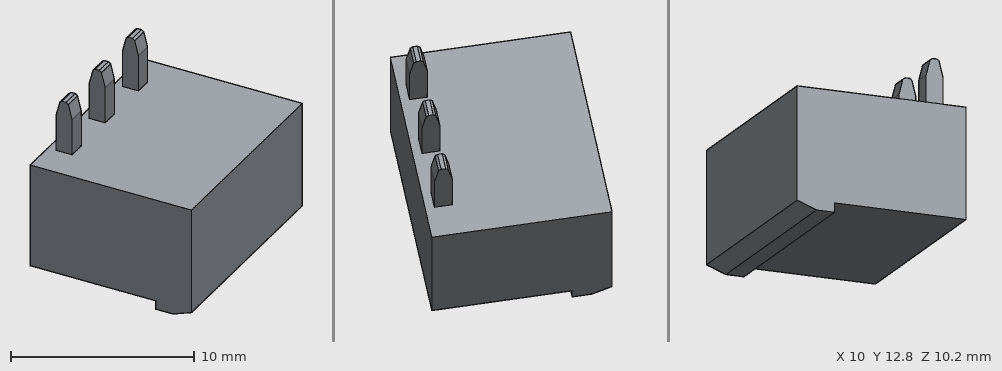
import cadquery as cq

housing_depth = 10.0
housing_length = 12.76
overall_height = 10.21
ridge_height = 0.54
ridge_start = 7.78
ridge_flat_width = 1.07
ridge_slope_rise = 0.42

pin_count = 3
pin_pitch = 3.82
pin_width = 1.06
pin_thickness = 1.0
pin_offset = 0.51
pin_height = 3.24
taper_height = 1.0
taper_inset = 0.23
tip_chamfer_height = 0.1
tip_flat_width = 0.25

housing_top = overall_height - pin_height


def make_housing():
    """Extrude the side outline, ridge included, symmetrically along Y."""
    outline = [
        (0, ridge_height),
        (ridge_start, ridge_height),
        (ridge_start, 0),
        (ridge_start + ridge_flat_width, 0),
        (housing_depth, ridge_slope_rise),
        (housing_depth, housing_top),
        (0, housing_top),
    ]
    return cq.Workplane("XZ").polyline(outline).close().extrude(housing_length / 2, both=True)


def make_pin(center_y):
    """Make one pin standing on the housing, tapered in X with a chamfered tip."""
    center_x = pin_offset + pin_thickness / 2
    half_thickness = pin_thickness / 2
    right_side = [
        (half_thickness, housing_top),
        (half_thickness, overall_height - taper_height),
        (half_thickness - taper_inset, overall_height - tip_chamfer_height),
        (tip_flat_width / 2, overall_height),
    ]
    left_side = [(-x, z) for x, z in reversed(right_side)]
    return (
        cq.Workplane("XZ")
        .polyline(right_side + left_side)
        .close()
        .extrude(pin_width / 2, both=True)
        .translate((center_x, center_y, 0))
    )


result = make_housing()
for index in range(pin_count):
    pin_y = (index - (pin_count - 1) / 2) * pin_pitch
    result = result.union(make_pin(pin_y))